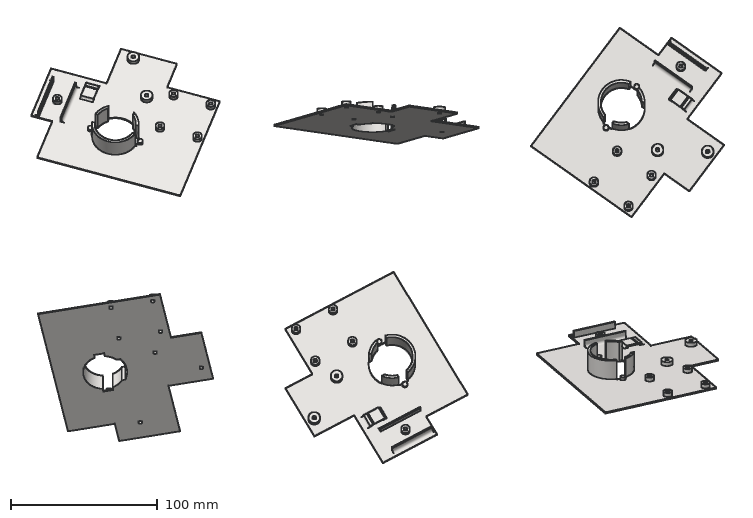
import cadquery as cq
import math

plate_length = 118.0
plate_width = 106.0
plate_thickness = 1.0
lower_left_notch = (15.1, 32.6)
left_wing_top = 74.9
tab_left = 39.9
tab_right = 80.1
right_wing_top = 84.8

boss_height = 3.0
boss_hole_diameter = 2.5
small_boss_diameter = 6.0
large_boss_diameter = 8.0
small_boss_centers = [(13.0, 49.9), (86.7, 49.9), (113.6, 49.9), (86.7, 79.0), (113.5, 79.0)]
large_boss_centers = [(50.7, 100.1), (69.9, 71.7)]

collar_center = (60.0, 34.0)
collar_outer_radius = 15.9
collar_inner_radius = 14.0
total_height = 15.0
side_slot_length = 32.1
side_slot_width = 7.0
back_gap_width = 17.9

pin_diameter = 3.7
pin_height = 2.0
pin_offset = 17.8

rail_inner_faces = (5.3, 20.5)
rail_thickness = 1.0
rail_height = 5.0
rail_start = 33.7
rail_length = 31.4
rail_foot_radius = 2.0

latch_left = 27.0
latch_width = 9.2
latch_height = 2.0
tongue_thickness = 1.0
latch_foot_thickness = 1.3
long_latch_front = 58.0
long_latch_tip = 66.3
long_latch_foot_radius = 1.5
short_latch_back = 69.6
short_latch_tip = 67.1
short_latch_foot_radius = 1.9


def make_plate():
    notch_x, notch_y = lower_left_notch
    outline = [
        (notch_x, 0),
        (plate_length, 0),
        (plate_length, right_wing_top),
        (tab_right, right_wing_top),
        (tab_right, plate_width),
        (tab_left, plate_width),
        (tab_left, left_wing_top),
        (0, left_wing_top),
        (0, notch_y),
        (notch_x, notch_y),
    ]
    return cq.Workplane("XY").polyline(outline).close().extrude(plate_thickness)


def cylinders(centers, diameter, height):
    """Upright cylinders that start at the underside of the plate."""
    return cq.Workplane("XY").pushPoints(centers).circle(diameter / 2).extrude(height)


def side_slots():
    """Bar across the collar center that opens both sides of collar and plate."""
    return cq.Workplane("XY").center(*collar_center).rect(side_slot_length, side_slot_width).extrude(total_height)


def make_collar():
    ring = (
        cq.Workplane("XY").center(*collar_center)
        .circle(collar_outer_radius).circle(collar_inner_radius).extrude(total_height)
    )
    back_gap = (
        cq.Workplane("XY").center(collar_center[0], collar_center[1] + collar_outer_radius / 2)
        .rect(back_gap_width, collar_outer_radius).extrude(total_height)
    )
    return ring.cut(back_gap).cut(side_slots())


def foot_arc_middle(face, side, radius):
    """Middle of the concave arc between an upright face and the plate, on the given side."""
    reach = radius * (1 - math.sqrt(0.5))
    return (face + side * reach, plate_thickness + reach)


def make_rail(inner_face, side):
    """Upright rail whose foot flares out to the given side, -1 for left and +1 for right."""
    outer_face = inner_face + side * rail_thickness
    top = plate_thickness + rail_height
    return (
        cq.Workplane("XZ", origin=(0, rail_start, 0))
        .moveTo(inner_face, plate_thickness)
        .lineTo(inner_face, top)
        .lineTo(outer_face, top)
        .lineTo(outer_face, plate_thickness + rail_foot_radius)
        .threePointArc(
            foot_arc_middle(outer_face, side, rail_foot_radius),
            (outer_face + side * rail_foot_radius, plate_thickness),
        )
        .close().extrude(-rail_length)
    )


def make_latch(outer_face, tip, foot_radius):
    """Tongue reaching from its upright outer face to its free tip, above a narrow foot."""
    side = math.copysign(1, outer_face - tip)
    foot_inner_face = outer_face - side * latch_foot_thickness
    top = plate_thickness + latch_height
    tongue_underside = top - tongue_thickness
    return (
        cq.Workplane("YZ", origin=(latch_left, 0, 0))
        .moveTo(foot_inner_face, plate_thickness)
        .lineTo(foot_inner_face, tongue_underside)
        .lineTo(tip, tongue_underside)
        .lineTo(tip, top)
        .lineTo(outer_face, top)
        .lineTo(outer_face, plate_thickness + foot_radius)
        .threePointArc(
            foot_arc_middle(outer_face, side, foot_radius),
            (outer_face + side * foot_radius, plate_thickness),
        )
        .close().extrude(latch_width)
    )


def make_base():
    """Plate with its bosses, pins, collar, rails and the short latch."""
    base = make_plate()

    boss_top = plate_thickness + boss_height
    base = base.union(cylinders(small_boss_centers, small_boss_diameter, boss_top))
    base = base.union(cylinders(large_boss_centers, large_boss_diameter, boss_top))
    base = base.cut(cylinders(small_boss_centers + large_boss_centers, boss_hole_diameter, boss_top))

    pin_centers = [(collar_center[0] + side * pin_offset, collar_center[1]) for side in (-1, 1)]
    base = base.union(cylinders(pin_centers, pin_diameter, plate_thickness + pin_height))

    base = base.cut(cylinders([collar_center], 2 * collar_outer_radius, plate_thickness))
    base = base.union(make_collar()).cut(side_slots())

    for inner_face, side in zip(rail_inner_faces, (-1, 1)):
        base = base.union(make_rail(inner_face, side))

    return base.union(make_latch(short_latch_back, short_latch_tip, short_latch_foot_radius))


base = make_base()
long_latch = make_latch(long_latch_front, long_latch_tip, long_latch_foot_radius)

result = cq.Compound.makeCompound([base.val(), long_latch.val()])